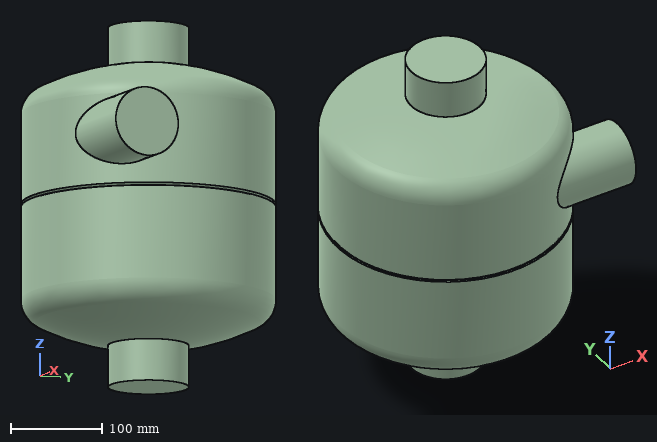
import cadquery as cq
import math

TANK_DIAMETER = 280.0
TANK_RADIUS = TANK_DIAMETER / 2
CROWN_RADIUS = TANK_DIAMETER
KNUCKLE_RADIUS = TANK_DIAMETER / 10

OVERALL_HEIGHT = 400.0
STRAIGHT_HEIGHT = 206.5
SEAM_BEVEL = 3.0

END_NOZZLE_DIAMETER = 89.0

SIDE_NOZZLE_DIAMETER = 76.0
SIDE_NOZZLE_REACH = 170.0
SIDE_NOZZLE_Y = -84.0
SIDE_NOZZLE_Z = 62.0


def make_half_tank():
    """Solid half tank standing on z = 0, a straight wall with a dished head on top."""
    straight_length = STRAIGHT_HEIGHT / 2

    knuckle_center_r = TANK_RADIUS - KNUCKLE_RADIUS
    crown_angle = math.asin(knuckle_center_r / (CROWN_RADIUS - KNUCKLE_RADIUS))
    crown_center_z = straight_length - (CROWN_RADIUS - KNUCKLE_RADIUS) * math.cos(crown_angle)

    def on_knuckle(angle):
        return (
            knuckle_center_r + KNUCKLE_RADIUS * math.sin(angle),
            straight_length + KNUCKLE_RADIUS * math.cos(angle),
        )

    def on_crown(angle):
        return (
            CROWN_RADIUS * math.sin(angle),
            crown_center_z + CROWN_RADIUS * math.cos(angle),
        )

    knuckle_mid_angle = (crown_angle + math.pi / 2) / 2
    profile = (
        cq.Workplane("XZ")
        .moveTo(0, 0)
        .lineTo(TANK_RADIUS, 0)
        .lineTo(TANK_RADIUS, straight_length)
        .threePointArc(on_knuckle(knuckle_mid_angle), on_knuckle(crown_angle))
        .threePointArc(on_crown(crown_angle / 2), on_crown(0))
        .close()
    )
    return profile.revolve(360, (0, 0, 0), (0, 1, 0))


def make_upper_tank():
    """Upper half, its rim bevelled to leave a groove around the seam."""
    return make_half_tank().faces("<Z").chamfer(SEAM_BEVEL)


def make_lower_tank():
    """Lower half, mirrored below the seam with a plain square rim."""
    return make_half_tank().mirror("XY")


def make_end_nozzle(direction, tank):
    """Solid stub on the tank axis, up (+1) or down (-1), seated on the head it meets."""
    stub = (
        cq.Workplane("XY")
        .workplane(offset=direction * STRAIGHT_HEIGHT / 2)
        .circle(END_NOZZLE_DIAMETER / 2)
        .extrude(direction * (OVERALL_HEIGHT - STRAIGHT_HEIGHT) / 2)
    )
    return stub.cut(tank)


def make_side_nozzle(tank):
    """Solid stub along +X, set off toward -Y and seated on the upper tank wall."""
    stub = (
        cq.Workplane("YZ")
        .center(SIDE_NOZZLE_Y, SIDE_NOZZLE_Z)
        .circle(SIDE_NOZZLE_DIAMETER / 2)
        .extrude(SIDE_NOZZLE_REACH)
    )
    return stub.cut(tank)


upper_tank = make_upper_tank()
lower_tank = make_lower_tank()
end_nozzles = [
    make_end_nozzle(direction, tank)
    for direction, tank in ((1, upper_tank), (-1, lower_tank))
]
side_nozzle = make_side_nozzle(upper_tank)

result = cq.Compound.makeCompound([
    upper_tank.val(),
    lower_tank.val(),
    *[nozzle.val() for nozzle in end_nozzles],
    side_nozzle.val(),
])